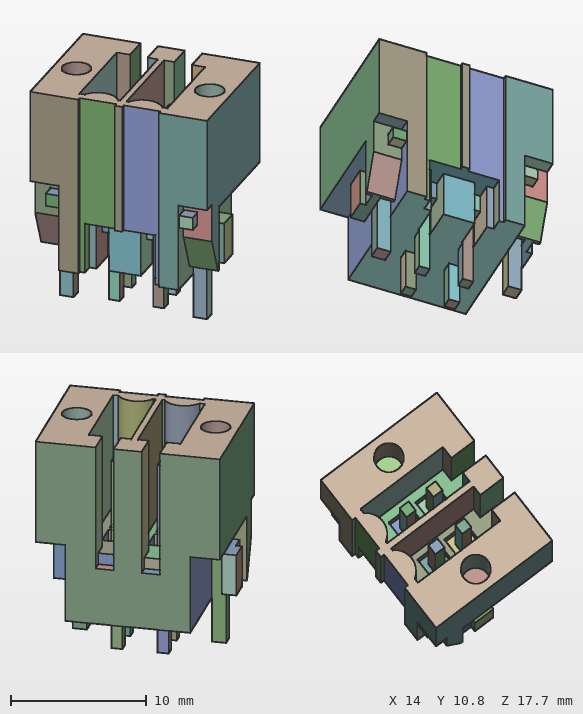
import cadquery as cq


width = 14.0
depth = 10.8
top_z = 17.7
bottom_z = 3.52
core_half_width = 4.75
ledge_z = 9.63

pole_x = 1.75
pin_size = 0.85
front_pin_y = 4.05
row_pitch = 2.5
pin_rows_y = [front_pin_y, front_pin_y + row_pitch]
pin_top_z = 15.05
pin_front_y = front_pin_y - pin_size / 2

cavity_inner_x = 0.25
cavity_outer_x = 3.49
cavity_front_y = 1.01
cavity_back_y = 8.65
cavity_floor_z = 8.85
well_size = 2.0
well_floor_z = 7.61
polarizer_radius = 1.55
polarizer_reach = 0.75
slot_width = 1.38
slot_step_y = 9.95
slot_step_drop = 0.88

screw_x = 5.27
screw_y = 5.01
screw_diameter = 2.2
screw_depth = 5.31

groove_depth = 0.3
groove_inner_x = 0.3
groove_outer_x = 3.19
notch_half_width = 2.8
notch_top_z = 7.52
notch_depth = 1.27
channel_width = 1.0
channel_depth = 2.48
window_top_z = 6.0

leg_front_y = 1.01
leg_back_y = 2.5
leg_top_z = 10.4
leg_slope_top_z = 7.42
leg_toe_y = 2.25
leg_bottom_z = 4.48
lug_step_y = 3.65
lug_back_y = 5.38
lug_top_z = 7.72
lug_outer_x = 6.94
lug_front_outer_x = 6.48

clip_thickness = 1.08
clip_outer_x = core_half_width + clip_thickness
clip_front_y = 0.12
clip_shank_y = 3.03
clip_back_y = 4.05
clip_arm_z = 8.55
clip_top_z = 9.54


def box(x_range, y_range, z_range):
    """Box between two limits on each axis."""
    (x0, x1), (y0, y1), (z0, z1) = x_range, y_range, z_range
    return cq.Workplane("XY").box(x1 - x0, y1 - y0, z1 - z0, centered=False).translate((x0, y0, z0))


def both_sides(shape):
    """The right-hand shape together with its mirror image on the left."""
    return shape.union(shape.mirror("YZ"))


def housing_block():
    """Wide upper block on a narrow core, with the wide front corners cut back."""
    half_width = width / 2
    upper = box((-half_width, half_width), (0, depth), (ledge_z, top_z))
    core = box((-core_half_width, core_half_width), (0, depth), (bottom_z, ledge_z))
    corner = box((core_half_width, half_width), (0, leg_front_y), (ledge_z, leg_top_z))
    return upper.union(core).cut(both_sides(corner))


def clip_leg():
    """Right-hand leg under the front corner, with a sloping lower front."""
    profile = [
        (leg_front_y, ledge_z),
        (leg_front_y, leg_slope_top_z),
        (leg_toe_y, leg_bottom_z),
        (leg_back_y, leg_bottom_z),
        (leg_back_y, ledge_z),
    ]
    leg = cq.Workplane("YZ").polyline(profile).close().extrude(width / 2 - core_half_width)
    return leg.translate((core_half_width, 0, 0))


def side_lug():
    """Right-hand stepped lug, carried by the leg, that backs the outer face of the clip."""
    height = (leg_bottom_z, lug_top_z)
    front = box((clip_outer_x, lug_front_outer_x), (leg_back_y, lug_step_y), height)
    back = box((clip_outer_x, lug_outer_x), (lug_step_y, lug_back_y), height)
    return front.union(back)


def plug_cavity():
    """Right-hand plug cavity with its front rib, pin wells and latch slot."""
    cavity = box(
        (cavity_inner_x, cavity_outer_x), (cavity_front_y, cavity_back_y), (cavity_floor_z, top_z)
    )
    rib_center_y = cavity_front_y + polarizer_reach - polarizer_radius
    rib = (
        cq.Workplane("XY", origin=(pole_x, rib_center_y, cavity_floor_z))
        .circle(polarizer_radius)
        .extrude(top_z - cavity_floor_z)
    )
    cavity = cavity.cut(rib)

    for row_y in pin_rows_y:
        well = box(
            (pole_x - well_size / 2, pole_x + well_size / 2),
            (row_y - well_size / 2, row_y + well_size / 2),
            (well_floor_z, cavity_floor_z),
        )
        cavity = cavity.union(well)

    slot_x = (pole_x - slot_width / 2, pole_x + slot_width / 2)
    slot = box(slot_x, (cavity_back_y, depth), (cavity_floor_z, top_z))
    slot_end = box(slot_x, (slot_step_y, depth), (cavity_floor_z - slot_step_drop, top_z))
    return cavity.union(slot).union(slot_end)


def screw_hole():
    """Right-hand blind mounting hole."""
    return (
        cq.Workplane("XY", origin=(screw_x, screw_y, top_z))
        .circle(screw_diameter / 2)
        .extrude(-screw_depth)
    )


def front_groove():
    """Right-hand shallow groove down the full height of the front face."""
    return box((groove_inner_x, groove_outer_x), (0, groove_depth), (bottom_z, top_z))


def bottom_notch():
    """Notch in the lower front edge, with a channel running back to each front pin."""
    notch = box((-notch_half_width, notch_half_width), (0, notch_depth), (bottom_z, notch_top_z))
    channel_x = (pole_x - channel_width / 2, pole_x + channel_width / 2)
    channel = box(channel_x, (0, channel_depth), (bottom_z, notch_top_z))
    window = box(channel_x, (0, pin_front_y), (bottom_z, window_top_z))
    return notch.union(both_sides(channel.union(window)))


def clip_slot():
    """Right-hand passage through the leg for the arm of the clip, up to the ledge."""
    return box(
        (core_half_width, clip_outer_x),
        (leg_front_y, leg_back_y),
        (clip_arm_z, ledge_z),
    )


def contact_pin(x, y):
    """Straight square pin."""
    half = pin_size / 2
    return box((x - half, x + half), (y - half, y + half), (0, pin_top_z))


def solder_clip():
    """Right-hand L-shaped clip: an upright shank with an arm reaching forward."""
    x_range = (core_half_width, clip_outer_x)
    shank = box(x_range, (clip_shank_y, clip_back_y), (0, clip_top_z))
    arm = box(x_range, (clip_front_y, clip_back_y), (clip_arm_z, clip_top_z))
    return shank.union(arm)


pins = []
for pin_x in (-pole_x, pole_x):
    for pin_y in pin_rows_y:
        pins.append(contact_pin(pin_x, pin_y))

right_clip = solder_clip()
clips = [right_clip, right_clip.mirror("YZ")]

housing = housing_block()
housing = housing.union(both_sides(clip_leg()))
housing = housing.union(both_sides(side_lug()))
housing = housing.cut(both_sides(plug_cavity()))
housing = housing.cut(both_sides(screw_hole()))
housing = housing.cut(both_sides(front_groove()))
housing = housing.cut(bottom_notch())
housing = housing.cut(both_sides(clip_slot()))
for insert in pins + clips:
    housing = housing.cut(insert)

bodies = [housing] + pins + clips
result = cq.Compound.makeCompound([body.solids().val() for body in bodies])